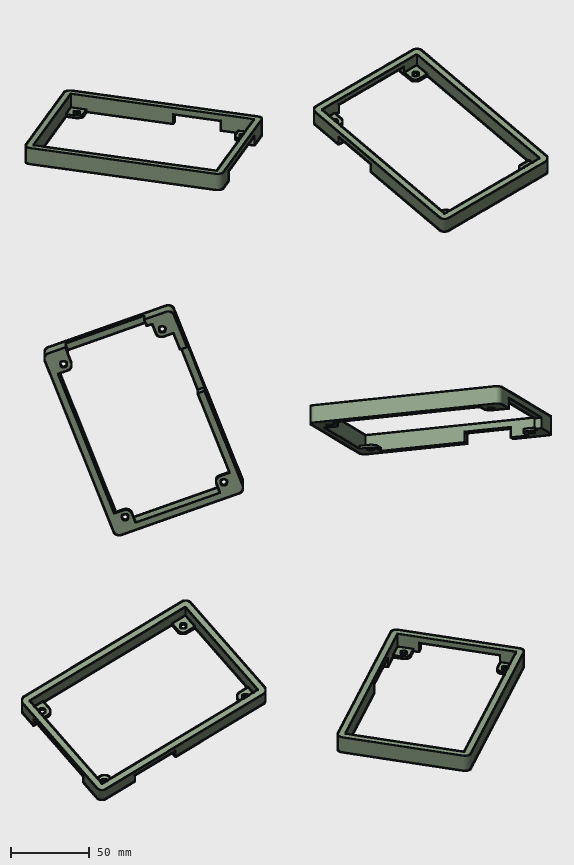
import cadquery as cq

length = 132.0
width = 88.0
height = 11.5
wall = 4.8
corner_radius = 4.0

tab_size = 10.5
tab_thickness = 1.8
tab_radius = 4.0
hole_diameter = 4.2
hole_inset = 10.4

notch_height = 6.9
back_notch_start = 7.0
back_notch_end = 38.8
side_notch_start = -28.5
side_notch_end = 25.1

inner_length = length - 2 * wall
inner_width = width - 2 * wall


def make_frame():
    outer = cq.Workplane("XY").rect(length, width).extrude(height).edges("|Z").fillet(corner_radius)
    opening = cq.Workplane("XY").rect(inner_length, inner_width).extrude(height)
    return outer.cut(opening)


def make_tab(x_side, y_side):
    """Corner tab, rounded towards the opening and sunk into both walls."""
    overlap = wall / 2
    block_size = tab_size + overlap
    center_x = x_side * (inner_length / 2 + overlap - block_size / 2)
    center_y = y_side * (inner_width / 2 + overlap - block_size / 2)
    free_corner = ("<X" if x_side > 0 else ">X") + " and " + ("<Y" if y_side > 0 else ">Y")
    return (
        cq.Workplane("XY")
        .rect(block_size, block_size)
        .extrude(tab_thickness)
        .edges("|Z")
        .edges(free_corner)
        .fillet(tab_radius)
        .translate((center_x, center_y, 0))
    )


def cut_back_notch(body):
    notch = cq.Workplane("XY").box(back_notch_end - back_notch_start, wall, notch_height, centered=False)
    return body.cut(notch.translate((back_notch_start, inner_width / 2, 0)))


def cut_side_notch(body):
    notch = cq.Workplane("XY").box(wall, side_notch_end - side_notch_start, notch_height, centered=False)
    return body.cut(notch.translate((inner_length / 2, side_notch_start, 0)))


result = make_frame()
for x_side in (-1, 1):
    for y_side in (-1, 1):
        result = result.union(make_tab(x_side, y_side))

screw_holes = (
    cq.Workplane("XY")
    .rect(length - 2 * hole_inset, width - 2 * hole_inset, forConstruction=True)
    .vertices()
    .circle(hole_diameter / 2)
    .extrude(tab_thickness)
)
result = result.cut(screw_holes)
result = cut_back_notch(result)
result = cut_side_notch(result)